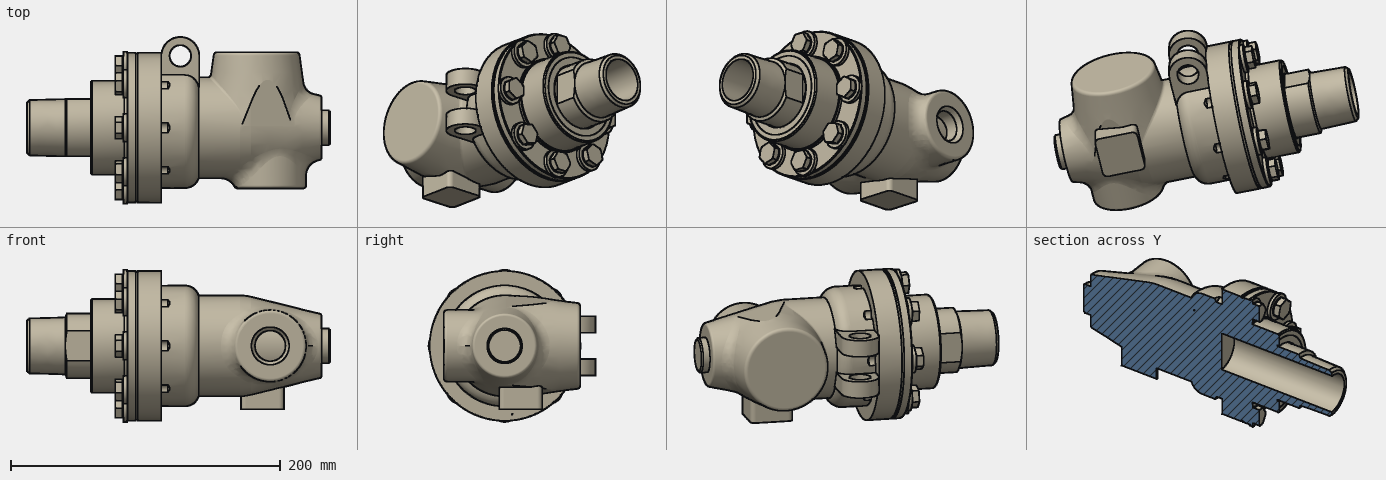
import math

import cadquery as cq

thread_chamfer_end = 2.2
thread_end = 28.5
shaft_end = 47.4
head_start = 65.4
head_end = 70.6
washer_start = 71.5
flange_start = 74.2
groove_start = 80.5
groove_end = 82.2
flange_end = 99.6
shoulder_end = 127.8
cone_start = 162.0
cone_end = 218.4
overall_length = 224.67

bore_radius = 31.75 / 2
thread_face_radius = 37.31 / 2
thread_start_radius = 20.6
thread_end_radius = 21.3
shaft_radius = 48.07 / 2
collar_radius = 34.9
ring_radius = 35.9
flange_radius = 111.25 / 2
shoulder_radius = 44.85
body_radius = 37.5
cone_end_radius = 23.6
stub_radius = 13.0

shaft_chamfer = 1.2
collar_chamfer = 1.0
groove_depth = 0.7
flange_chamfer = 0.6
shoulder_fillet = 10.67
body_bend_radius = 35.0
cone_end_fillet = 2.0
stub_chamfer = 1.2
bore_end = flange_end
flat_distance = thread_end_radius
ring_start = 72.0

seal_radius = 60.38 / 2
seal_recess = 0.2
clearance_radius = 49.17 / 2
clearance_depth = 2.0

bolt_count = 8
bolt_circle_radius = 46.1
washer_radius = 20.65 / 2
head_sides = 6
head_across_flats = 14.3
head_face_radius = 15.75 / 2
head_chamfer_length = 0.4
bolt_neck_radius = 14.22 / 2
tap_radius = 7.8 / 2
tap_end = 104.4
tap_point_half_angle = 59

lug_radius = (shoulder_end - flange_end) / 2
lug_tip_y = 67.32
lug_hole_diameter = 15.75
lug_inner_z = 9.6
lug_thickness = 12.4

boss_x = 170.2
boss_end_y = 56.1
boss_end_radius = 31.6
boss_taper = 7.8
boss_edge_fillet = 2.8
boss_trim_inset = 0.02
boss_front_fillet = 2.0
boss_rear_fillet = 10.0

port_x = 180.3
port_face_y = -45.05
port_boss_radius = 26.6
port_edge_fillet = 2.4
port_root_fillet = 11.5
port_mouth_radius = 28.0 / 2
port_bore_radius = 22.63 / 2
port_mouth_depth = 4.0
port_floor_radius = 62.26 / 2

pad_x_min = 158.6
pad_x_max = 190.5
pad_y_min = -4.0
pad_bottom_z = -47.05
pad_corner_radius = 3.6

search_margin = 1.0


def x_cylinder(radius, start, end):
    """Cylinder about the X axis between two stations."""
    return cq.Workplane("YZ", origin=(start, 0, 0)).circle(radius).extrude(end - start)


def edges_between(solid, y_min, y_max):
    """Edges of a solid lying wholly between two Y values."""
    low = (-overall_length, y_min, -overall_length)
    high = (2 * overall_length, y_max, overall_length)
    return solid.edges(cq.selectors.BoxSelector(low, high, boundingbox=True))


def around_bolt_circle(bolt_item):
    """Copies of an item built on the X axis, placed at every bolt position."""
    item = bolt_item.translate((0, 0, bolt_circle_radius))
    copies = cq.Workplane("XY")
    for index in range(bolt_count):
        angle = index * 360 / bolt_count
        copies = copies.add(item.rotate((0, 0, 0), (1, 0, 0), angle))
    return copies.combine()


def make_rotor():
    """Tapered pipe thread blank and the plain shaft with two wrench flats."""
    rotor = (
        cq.Workplane("XY")
        .polyline(
            [
                (0, 0),
                (0, thread_face_radius),
                (thread_chamfer_end, thread_start_radius),
                (thread_end, thread_end_radius),
                (thread_end + shaft_chamfer, shaft_radius),
                (flange_start, shaft_radius),
                (flange_start, 0),
            ]
        )
        .close()
        .revolve(360, (0, 0, 0), (1, 0, 0))
    )
    flat_length = shaft_end - thread_end
    for side in (-1, 1):
        flat_cut = cq.Workplane("XY").box(flat_length, shaft_radius, 2 * shaft_radius)
        flat_y = side * (flat_distance + shaft_radius / 2)
        rotor = rotor.cut(flat_cut.translate((thread_end + flat_length / 2, flat_y, 0)))
    return rotor


def make_cover():
    """Collar, locating ring and the two flange plates with a groove between them."""
    collar = x_cylinder(collar_radius, shaft_end, flange_start).faces("<X").chamfer(collar_chamfer)
    collar = collar.cut(x_cylinder(seal_radius, shaft_end, shaft_end + seal_recess))
    collar = collar.cut(x_cylinder(clearance_radius, shaft_end, shaft_end + clearance_depth))
    cover = collar.union(x_cylinder(ring_radius, ring_start, flange_start))
    front_plate = x_cylinder(flange_radius, flange_start, groove_start)
    cover = cover.union(front_plate.faces("<X").chamfer(flange_chamfer))
    cover = cover.union(x_cylinder(flange_radius - groove_depth, groove_start, groove_end))
    return cover.union(x_cylinder(flange_radius, groove_end, flange_end))


def make_bolts():
    """Washers and hexagon heads, each head with a flat facing the X axis."""
    washer = x_cylinder(washer_radius, washer_start, flange_start)
    half_facet = 180 / head_sides
    neck = x_cylinder(bolt_neck_radius, head_end, washer_start)
    head = (
        cq.Workplane("YZ", origin=(head_start, 0, 0))
        .polygon(head_sides, head_across_flats, circumscribed=True)
        .extrude(head_end - head_start)
        .rotate((0, 0, 0), (1, 0, 0), half_facet)
    )
    corner_radius = head_across_flats / 2 / math.cos(math.radians(half_facet))
    corner_chamfer = x_cylinder(corner_radius, head_start, head_end).faces("<X")
    corner_chamfer = corner_chamfer.chamfer(head_chamfer_length, corner_radius - head_face_radius)
    head = head.intersect(corner_chamfer)
    return around_bolt_circle(washer.union(neck).union(head))


def make_tap_holes():
    """Drilled bolt holes that break out through the side of the housing shoulder."""
    point_length = tap_radius / math.tan(math.radians(tap_point_half_angle))
    drill = (
        cq.Workplane("XY")
        .polyline(
            [
                (flange_end, 0),
                (flange_end, tap_radius),
                (tap_end, tap_radius),
                (tap_end + point_length, 0),
            ]
        )
        .close()
        .revolve(360, (0, 0, 0), (1, 0, 0))
    )
    return around_bolt_circle(drill)


def make_barrel():
    """Straight barrel running through a rounded bend into the rear cone."""
    barrel = (
        cq.Workplane("XY")
        .polyline(
            [
                (flange_end, 0),
                (flange_end, body_radius),
                (cone_start, body_radius),
                (cone_end, cone_end_radius),
                (cone_end, 0),
            ]
        )
        .close()
        .revolve(360, (0, 0, 0), (1, 0, 0))
    )
    reach = 2 * body_radius
    bend_box = cq.selectors.BoxSelector(
        (cone_start - search_margin, -reach, -reach),
        (cone_start + search_margin, reach, reach),
        boundingbox=True,
    )
    return barrel.edges(bend_box).edges("%CIRCLE").fillet(body_bend_radius)


def add_port_boss(housing):
    """Round boss on the -Y side, blended into the housing."""
    boss = cq.Workplane("XZ", origin=(port_x, 0, 0)).circle(port_boss_radius).extrude(-port_face_y)
    boss = boss.faces("<Y").edges().fillet(port_edge_fillet)
    housing = housing.union(boss)
    root_y_min = port_face_y + port_edge_fillet + search_margin
    return edges_between(housing, root_y_min, -search_margin).fillet(port_root_fillet)


def add_tapered_boss(housing):
    """Cone boss on the +Y side, trimmed top and bottom flush with the housing profile."""
    cone = (
        cq.Workplane("XZ", origin=(boss_x, boss_end_y, 0))
        .circle(boss_end_radius)
        .extrude(boss_end_y, taper=-boss_taper)
        .faces(">Y")
        .edges()
        .fillet(boss_edge_fillet)
    )
    slope = (body_radius - cone_end_radius) / (cone_end - cone_start)
    trim_start = boss_x - 2 * boss_end_radius
    trim_end = boss_x + 2 * boss_end_radius
    trim_z = body_radius - boss_trim_inset
    trim_end_z = trim_z - slope * (trim_end - cone_start)
    trim = (
        cq.Workplane("XZ")
        .polyline(
            [
                (trim_start, trim_z),
                (cone_start, trim_z),
                (trim_end, trim_end_z),
                (trim_end, -trim_end_z),
                (cone_start, -trim_z),
                (trim_start, -trim_z),
            ]
        )
        .close()
        .extrude(-2 * boss_end_y)
    )
    bend_box = cq.selectors.BoxSelector(
        (cone_start - search_margin, -search_margin, -body_radius),
        (cone_start + search_margin, 3 * boss_end_y, body_radius),
        boundingbox=True,
    )
    trim = trim.edges(bend_box).fillet(body_bend_radius)
    housing = housing.union(cone.intersect(trim))
    for x_min, x_max, radius in (
        (flange_end, cone_start, boss_front_fillet),
        (boss_x, cone_end, boss_rear_fillet),
    ):
        low = (x_min, search_margin, -body_radius)
        high = (x_max, body_radius, body_radius)
        roots = housing.edges(cq.selectors.BoxSelector(low, high)).edges("%BSPLINE")
        housing = roots.fillet(radius)
    return housing


def make_shoulder():
    """Housing shoulder behind the flange with a rounded rear edge."""
    shoulder = x_cylinder(shoulder_radius, flange_end, shoulder_end)
    return shoulder.faces(">X").edges().fillet(shoulder_fillet)


def make_lugs():
    """Pair of rounded lifting lugs with cross holes."""
    hole_x = (flange_end + shoulder_end) / 2
    hole_y = lug_tip_y - lug_radius
    lugs = cq.Workplane("XY")
    for bottom_z in (lug_inner_z, -lug_inner_z - lug_thickness):
        lug = (
            cq.Workplane("XY", origin=(0, 0, bottom_z))
            .moveTo(flange_end, 0)
            .lineTo(flange_end, hole_y)
            .threePointArc((hole_x, lug_tip_y), (shoulder_end, hole_y))
            .lineTo(shoulder_end, 0)
            .close()
            .moveTo(hole_x, hole_y)
            .circle(lug_hole_diameter / 2)
            .extrude(lug_thickness)
        )
        lugs = lugs.add(lug)
    return lugs.combine()


def make_pad():
    """Square foot pad with rounded vertical corners under the housing."""
    pad_length = pad_x_max - pad_x_min
    pad_x = (pad_x_min + pad_x_max) / 2
    pad_y = pad_y_min + pad_length / 2
    pad = cq.Workplane("XY", origin=(pad_x, pad_y, pad_bottom_z)).rect(pad_length, pad_length)
    return pad.extrude(-pad_bottom_z).edges("|Z").fillet(pad_corner_radius)


def make_stub():
    """Short chamfered spigot on the rear face."""
    return x_cylinder(stub_radius, cone_end, overall_length).faces(">X").chamfer(stub_chamfer)


def make_port_cut():
    """Port hole with a tapered mouth, ending on a cylindrical inner wall."""
    hole = (
        cq.Workplane("XY", origin=(port_x, 0, 0))
        .polyline(
            [
                (0, 0),
                (0, port_face_y),
                (port_mouth_radius, port_face_y),
                (port_bore_radius, port_face_y + port_mouth_depth),
                (port_bore_radius, 0),
            ]
        )
        .close()
        .revolve(360, (0, 0, 0), (0, 1, 0))
    )
    return hole.cut(x_cylinder(port_floor_radius, flange_end, cone_end))


def make_housing():
    """Complete housing with its bosses, lugs, pad, spigot and holes."""
    housing = add_tapered_boss(make_barrel())
    housing = add_port_boss(housing)
    housing = housing.faces(">X").edges().fillet(cone_end_fillet)
    for feature in (make_shoulder(), make_lugs(), make_pad(), make_stub()):
        housing = housing.union(feature)
    return housing.cut(make_port_cut()).cut(make_tap_holes())


result = make_housing().union(make_cover()).union(make_bolts())
result = result.union(make_rotor()).cut(x_cylinder(bore_radius, 0, bore_end))